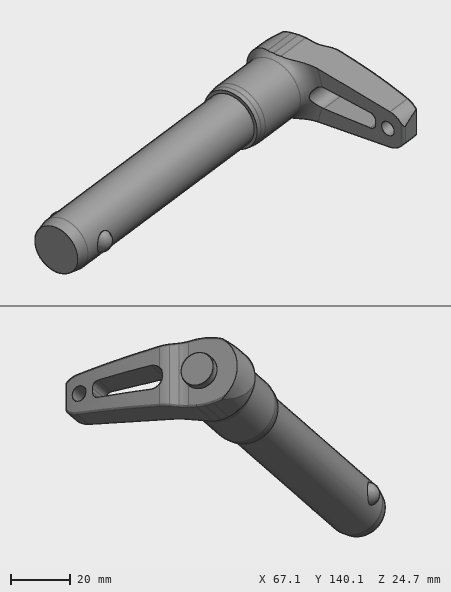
import cadquery as cq
import math


SHANK_RADIUS = 10.0
SHANK_LENGTH = 96.9
TIP_TAPER_LENGTH = 4.5
TIP_RADIUS = 9.1

BALL_RADIUS = 4.0
BALL_TIP_RADIUS = 12.5
BALL_Y = -83.4

COLLAR_RADIUS = 11.8
COLLAR_STEP_RADIUS = 11.5
COLLAR_SHOULDER_RADIUS = 11.2
COLLAR_STEP_Y = 1.7
COLLAR_TAPER_Y = 3.8
FLARE_START_Y = 23.3
FLARE_RADIUS = 6.0
FLARE_TOP_Y = FLARE_START_Y + FLARE_RADIUS
FLARE_TOP_RADIUS = COLLAR_RADIUS + FLARE_RADIUS

HEAD_TOP_Y = 40.2
BUTTON_RADIUS = 6.0
BUTTON_TOP_Y = 43.2
BUTTON_CHAMFER_HEIGHT = 0.5
BUTTON_CHAMFER_WIDTH = 0.15

HEAD_END_X = -15.0
HEAD_ARC_RADIUS = 12.0
HEAD_ARC_END_X = -4.5
HEAD_FLAT_HALF_LENGTH = 1.5
HEAD_HALF_WIDTH = 12.35
TIP_ARC_START_X = 46.2
TIP_ARC_START_HALF_WIDTH = 7.25
HANDLE_END_X = 52.3
HANDLE_END_HALF_WIDTH = 3.0
TIP_ARC_BULGE = 0.9

HEAD_FLAT_END_X = 4.5
RISE_START = (7.7, 40.8)
RISE_END = (10.6, 42.0)
CREST_MID = (12.2, 42.4)
CREST_END = (14.0, 42.5)
BACK_MID = (32.0, 40.7)
BACK_END = (50.5, 37.1)
UNDERSIDE_BEND_X = 15.0
HANDLE_END_BOTTOM_Y = 27.6
HANDLE_TOP_EDGE_FILLET = 0.6
HANDLE_END_FILLET = 1.0
TOP_RIM_MIN_Y = BACK_END[1] - HANDLE_TOP_EDGE_FILLET

BACK_CONE_TOP_RADIUS = 13.4
BACK_CONE_BOTTOM_RADIUS = -HEAD_END_X
BACK_CONE_BOTTOM_Y = 28.6

SLOT_START_X = 12.9
SLOT_END_X = 39.9
SLOT_WIDE_RADIUS = 4.3
SLOT_END_HALF_WIDTH = 3.0
SLOT_END_FILLET = 2.4
HOLE_X = 45.3
HOLE_DIAMETER = 5.5


def y_plane(y):
    """Plane at height y along the pin, local axes X and Z, normal -Y."""
    return cq.Workplane("XZ", origin=(0, y, 0))


def make_pin():
    """Shank, collar and concave flare in one turned profile."""
    diagonal = FLARE_RADIUS * math.sqrt(0.5)
    flare_mid = (FLARE_TOP_RADIUS - diagonal, FLARE_START_Y + diagonal)
    profile = (
        cq.Workplane("XY")
        .moveTo(0, -SHANK_LENGTH)
        .lineTo(TIP_RADIUS, -SHANK_LENGTH)
        .lineTo(SHANK_RADIUS, -SHANK_LENGTH + TIP_TAPER_LENGTH)
        .lineTo(SHANK_RADIUS, 0)
        .lineTo(COLLAR_SHOULDER_RADIUS, 0)
        .lineTo(COLLAR_STEP_RADIUS, COLLAR_STEP_Y)
        .lineTo(COLLAR_RADIUS, COLLAR_TAPER_Y)
        .lineTo(COLLAR_RADIUS, FLARE_START_Y)
        .threePointArc(flare_mid, (FLARE_TOP_RADIUS, FLARE_TOP_Y))
        .lineTo(0, FLARE_TOP_Y)
        .close()
    )
    return profile.revolve(360, (0, 0, 0), (0, 1, 0))


def make_plan_prism():
    """Handle outline seen along the pin, extruded over the whole pin length."""
    arc_centre_x = HEAD_END_X + HEAD_ARC_RADIUS
    arc_end_z = math.sqrt(HEAD_ARC_RADIUS**2 - (HEAD_ARC_END_X - arc_centre_x) ** 2)
    bulge_offset = TIP_ARC_BULGE * math.sqrt(0.5)
    tip_mid_x = (TIP_ARC_START_X + HANDLE_END_X) / 2 + bulge_offset
    tip_mid_z = (TIP_ARC_START_HALF_WIDTH + HANDLE_END_HALF_WIDTH) / 2 + bulge_offset
    outline = (
        y_plane(BUTTON_TOP_Y)
        .moveTo(HEAD_ARC_END_X, -arc_end_z)
        .threePointArc((HEAD_END_X, 0), (HEAD_ARC_END_X, arc_end_z))
        .lineTo(-HEAD_FLAT_HALF_LENGTH, HEAD_HALF_WIDTH)
        .lineTo(HEAD_FLAT_HALF_LENGTH, HEAD_HALF_WIDTH)
        .lineTo(TIP_ARC_START_X, TIP_ARC_START_HALF_WIDTH)
        .threePointArc((tip_mid_x, tip_mid_z), (HANDLE_END_X, HANDLE_END_HALF_WIDTH))
        .lineTo(HANDLE_END_X, -HANDLE_END_HALF_WIDTH)
        .threePointArc((tip_mid_x, -tip_mid_z), (TIP_ARC_START_X, -TIP_ARC_START_HALF_WIDTH))
        .lineTo(HEAD_FLAT_HALF_LENGTH, -HEAD_HALF_WIDTH)
        .lineTo(-HEAD_FLAT_HALF_LENGTH, -HEAD_HALF_WIDTH)
        .close()
    )
    return outline.extrude(BUTTON_TOP_Y + SHANK_LENGTH)


def make_side_prism():
    """Handle side profile, extruded across the width."""
    profile = (
        cq.Workplane("XY")
        .moveTo(HEAD_END_X, FLARE_TOP_Y)
        .lineTo(HEAD_END_X, HEAD_TOP_Y)
        .lineTo(HEAD_FLAT_END_X, HEAD_TOP_Y)
        .tangentArcPoint(RISE_START, relative=False)
        .lineTo(*RISE_END)
        .threePointArc(CREST_MID, CREST_END)
        .threePointArc(BACK_MID, BACK_END)
        .lineTo(HANDLE_END_X, HANDLE_END_BOTTOM_Y)
        .lineTo(UNDERSIDE_BEND_X, FLARE_TOP_Y)
        .close()
    )
    return profile.extrude(2 * HEAD_HALF_WIDTH, both=True)


def make_back_cone():
    """Cone that tapers the back of the head, opened up on the handle side."""
    slope = (BACK_CONE_BOTTOM_RADIUS - BACK_CONE_TOP_RADIUS) / (HEAD_TOP_Y - BACK_CONE_BOTTOM_Y)
    top_radius = BACK_CONE_BOTTOM_RADIUS - slope * (BUTTON_TOP_Y - BACK_CONE_BOTTOM_Y)
    cone = (
        cq.Workplane("XY")
        .moveTo(0, -SHANK_LENGTH)
        .lineTo(BACK_CONE_BOTTOM_RADIUS, -SHANK_LENGTH)
        .lineTo(BACK_CONE_BOTTOM_RADIUS, BACK_CONE_BOTTOM_Y)
        .lineTo(top_radius, BUTTON_TOP_Y)
        .lineTo(0, BUTTON_TOP_Y)
        .close()
        .revolve(360, (0, 0, 0), (0, 1, 0))
    )
    handle_side = (
        y_plane(BUTTON_TOP_Y)
        .rect(2 * HANDLE_END_X, 4 * HEAD_HALF_WIDTH)
        .extrude(BUTTON_TOP_Y + SHANK_LENGTH)
        .translate((HANDLE_END_X, 0, 0))
    )
    return cone.union(handle_side)


def make_slot():
    """Tapered slot: full round towards the pin, rounded corners at the far end."""
    centre_x = SLOT_START_X + SLOT_WIDE_RADIUS
    slot = (
        y_plane(BUTTON_TOP_Y)
        .moveTo(centre_x, -SLOT_WIDE_RADIUS)
        .threePointArc((SLOT_START_X, 0), (centre_x, SLOT_WIDE_RADIUS))
        .lineTo(SLOT_END_X, SLOT_END_HALF_WIDTH)
        .lineTo(SLOT_END_X, -SLOT_END_HALF_WIDTH)
        .close()
        .extrude(BUTTON_TOP_Y - FLARE_START_Y)
    )
    return slot.edges("|Y and >X").fillet(SLOT_END_FILLET)


def make_hole():
    return (
        y_plane(BUTTON_TOP_Y)
        .center(HOLE_X, 0)
        .circle(HOLE_DIAMETER / 2)
        .extrude(BUTTON_TOP_Y - FLARE_START_Y)
    )


def make_button():
    button = y_plane(BUTTON_TOP_Y).circle(BUTTON_RADIUS).extrude(BUTTON_TOP_Y - FLARE_TOP_Y)
    return button.faces(">Y").chamfer(BUTTON_CHAMFER_HEIGHT, BUTTON_CHAMFER_WIDTH)


def make_balls():
    ball_x = BALL_TIP_RADIUS - BALL_RADIUS
    return (
        cq.Workplane("XY")
        .pushPoints([(-ball_x, BALL_Y), (ball_x, BALL_Y)])
        .sphere(BALL_RADIUS)
    )


def make_handle():
    """Side profile trimmed to the plan outline, with its rim rounded."""
    handle = make_side_prism().intersect(make_plan_prism())
    lower_end_edge = cq.selectors.NearestToPointSelector((HANDLE_END_X, HANDLE_END_BOTTOM_Y, 0))
    handle = handle.edges(lower_end_edge).fillet(HANDLE_END_FILLET)
    top_rim_edges = [
        edge
        for edge in handle.edges().vals()
        if edge.BoundingBox().ymin > TOP_RIM_MIN_Y and abs(edge.Center().z) > HANDLE_END_HALF_WIDTH
    ]
    return handle.newObject(top_rim_edges).fillet(HANDLE_TOP_EDGE_FILLET)


body = make_pin().intersect(make_plan_prism())
body = body.union(make_handle())
body = body.intersect(make_back_cone())
body = body.cut(make_slot()).cut(make_hole())
result = body.union(make_button()).union(make_balls())